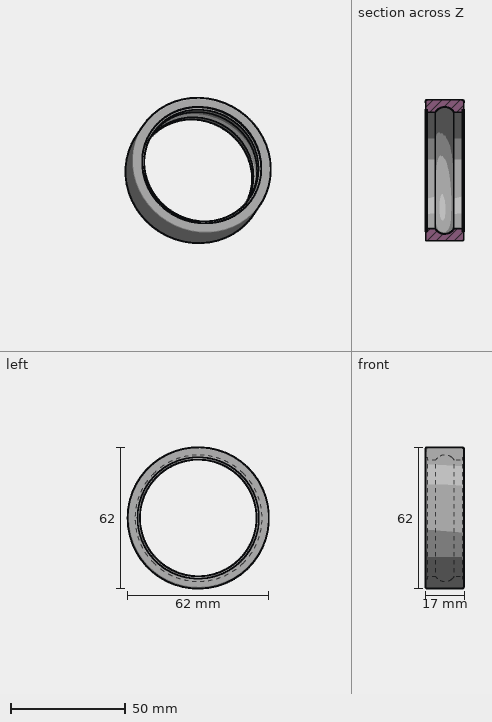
import cadquery as cq
import math

width = 17.0
outer_radius = 62.0 / 2
bore_radius = 51.0 / 2
recess_radius = 53.2 / 2
recess_depth = 0.8
edge_fillet = 1.0

ball_radius = 9.525 / 2
pitch_radius = 46.0 / 2

mid_plane = width / 2
race_half_width = math.sqrt(ball_radius**2 - (bore_radius - pitch_radius) ** 2)
race_bottom_radius = pitch_radius + ball_radius


def ring_section():
    """Half section in the XY plane: X runs along the axis, Y is the radius."""
    return (
        cq.Workplane("XY")
        .moveTo(0, outer_radius)
        .lineTo(0, recess_radius)
        .lineTo(recess_depth, recess_radius)
        .lineTo(recess_depth, bore_radius)
        .lineTo(mid_plane - race_half_width, bore_radius)
        .threePointArc(
            (mid_plane, race_bottom_radius),
            (mid_plane + race_half_width, bore_radius),
        )
        .lineTo(width - recess_depth, bore_radius)
        .lineTo(width - recess_depth, recess_radius)
        .lineTo(width, recess_radius)
        .lineTo(width, outer_radius)
        .close()
    )


def round_outer_edges(ring):
    """Fillet the outer rim on both faces."""
    is_outer_rim = cq.selectors.RadiusNthSelector(-1)
    return ring.edges("%CIRCLE").edges(is_outer_rim).fillet(edge_fillet)


ring = ring_section().revolve(360, (0, 0, 0), (1, 0, 0))
result = round_outer_edges(ring)